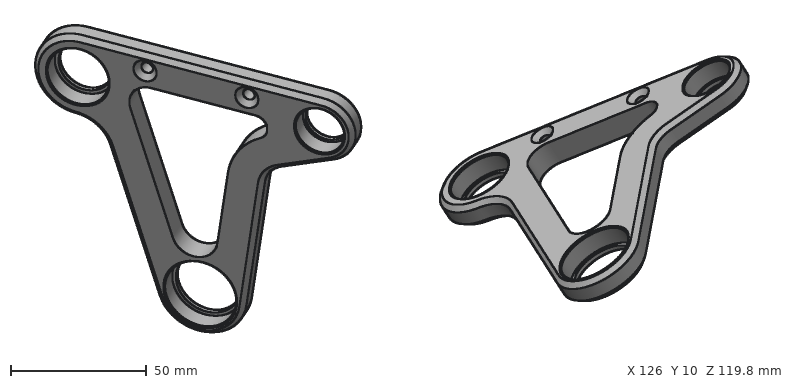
import cadquery as cq
import math

thickness = 10.0
edge_chamfer = 2.0

left_centre, left_radius = (0.0, 0.0), 17.5
right_centre, right_radius = (95.0, -2.0), 13.5
bottom_centre, bottom_radius = (48.1, -84.8), 17.5

left_leg_angle = 107.4
right_leg_angle = 82.6
branch_angle = 21.1
left_neck_radius = 15.0
right_neck_radius = 10.0

rim_width = 14.0
window_top_left_radius = 8.0
window_top_right_radius = 5.0
window_bottom_radius = 9.0

seat_sizes = [
    (left_centre, 24.0, 21.0),
    (right_centre, 19.0, 17.0),
    (bottom_centre, 28.0, 25.0),
]
lip_thickness = 2.0
seat_chamfer = 0.5

screw_diameter = 4.5
countersink_diameter = 9.1
countersink_angle = 90
screw_edge_distance = 7.0
first_screw_offset = 25.8
screw_spacing = 40.0


def polar(origin, distance, angle):
    """Point at a distance from origin, in the direction of an angle in degrees."""
    radians = math.radians(angle)
    return (origin[0] + distance * math.cos(radians), origin[1] + distance * math.sin(radians))


def line_crossing(point_a, angle_a, point_b, angle_b):
    """Crossing point of two lines, each given by a point and a direction."""
    dx, dz = point_b[0] - point_a[0], point_b[1] - point_a[1]
    radians_b = math.radians(angle_b)
    cross = dx * math.sin(radians_b) - dz * math.cos(radians_b)
    return polar(point_a, cross / math.sin(math.radians(angle_b - angle_a)), angle_a)


def extruded(sketch):
    """Extrude an XZ outline from the front face through the plate thickness."""
    return sketch.extrude(-thickness)


def fillet_corner(body, corner, radius):
    """Round the through-thickness edge that stands at an (x, z) corner."""
    edge = cq.selectors.NearestToPointSelector((corner[0], thickness / 2, corner[1]))
    return body.edges("|Y").edges(edge).fillet(radius)


boss_dx = right_centre[0] - left_centre[0]
boss_dz = right_centre[1] - left_centre[1]
top_angle = math.degrees(
    math.atan2(boss_dz, boss_dx) - math.asin((left_radius - right_radius) / math.hypot(boss_dx, boss_dz))
)
top_normal = top_angle + 90
branch_normal = branch_angle - 90
right_leg_normal = right_leg_angle - 90
left_leg_normal = left_leg_angle + 90

top_start = polar(left_centre, left_radius, top_normal)
top_end = polar(right_centre, right_radius, top_normal)
branch_start = polar(right_centre, right_radius, branch_normal)
right_leg_end = polar(bottom_centre, bottom_radius, right_leg_normal)
left_leg_start = polar(bottom_centre, bottom_radius, left_leg_normal)


def make_plate():
    right_corner = line_crossing(branch_start, branch_angle, right_leg_end, right_leg_angle)

    foot = line_crossing(left_leg_start, left_leg_angle, left_centre, left_leg_normal)
    half_chord = math.sqrt(left_radius**2 - math.dist(foot, left_centre) ** 2)
    left_corner = polar(foot, -half_chord, left_leg_angle)

    plate = extruded(
        cq.Workplane("XZ")
        .moveTo(*top_start)
        .lineTo(*top_end)
        .threePointArc(polar(right_centre, right_radius, 0), branch_start)
        .lineTo(*right_corner)
        .lineTo(*right_leg_end)
        .threePointArc(polar(bottom_centre, bottom_radius, -90), left_leg_start)
        .lineTo(*left_corner)
        .threePointArc(polar(left_centre, left_radius, 180), top_start)
        .close()
    )
    plate = fillet_corner(plate, right_corner, right_neck_radius)
    plate = fillet_corner(plate, left_corner, left_neck_radius)
    return plate.faces("<Y or >Y").edges().chamfer(edge_chamfer)


def make_window():
    top = (polar(top_start, -rim_width, top_normal), top_angle)
    branch = (polar(branch_start, -rim_width, branch_normal), branch_angle)
    right_leg = (polar(right_leg_end, -rim_width, right_leg_normal), right_leg_angle)
    left_leg = (polar(left_leg_start, -rim_width, left_leg_normal), left_leg_angle)

    corners = [
        (line_crossing(*left_leg, *top), window_top_left_radius),
        (line_crossing(*top, *branch), window_top_right_radius),
        (line_crossing(*branch, *right_leg), right_neck_radius + rim_width),
        (line_crossing(*right_leg, *left_leg), window_bottom_radius),
    ]
    window = extruded(cq.Workplane("XZ").polyline([corner for corner, _ in corners]).close())
    for corner, radius in corners:
        window = fillet_corner(window, corner, radius)
    return window


def make_bearing_seat(centre, seat_diameter, lip_diameter):
    seat_radius = seat_diameter / 2
    lip_radius = lip_diameter / 2
    seat_depth = thickness - lip_thickness
    section = [
        (0, 0),
        (seat_radius + seat_chamfer, 0),
        (seat_radius, seat_chamfer),
        (seat_radius, seat_depth),
        (lip_radius, seat_depth),
        (lip_radius, thickness),
        (0, thickness),
    ]
    cutter = cq.Workplane("XY").polyline(section).close().revolve(360, (0, 0), (0, 1))
    return cutter.translate((centre[0], 0, centre[1]))


def cut_screw_holes(body):
    first = polar(polar(top_start, -screw_edge_distance, top_normal), first_screw_offset, top_angle)
    centres = [first, polar(first, screw_spacing, top_angle)]
    front = cq.Workplane("XZ").add(body)
    return front.pushPoints(centres).cskHole(screw_diameter, countersink_diameter, countersink_angle)


result = make_plate().cut(make_window())
for seat in seat_sizes:
    result = result.cut(make_bearing_seat(*seat))
result = cut_screw_holes(result)